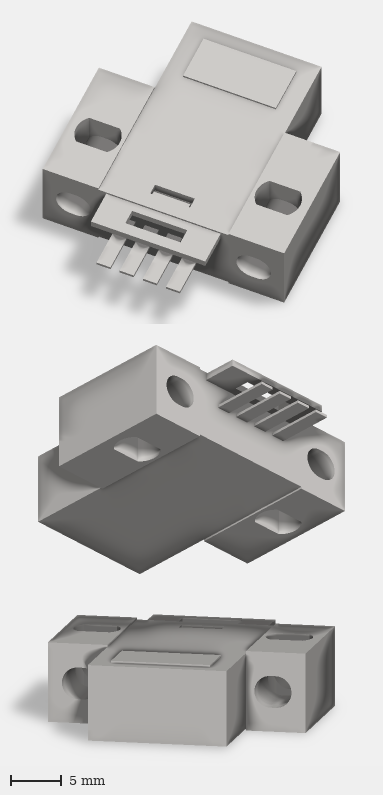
import cadquery as cq
import math


TOTAL_LENGTH = 29.0
PIN_LENGTH = 6.18
BODY_LENGTH = TOTAL_LENGTH - PIN_LENGTH
BODY_WIDTH = 14.0
FLANGE_SPAN = 26.0
FLANGE_LENGTH = 13.75
FLANGE_HEIGHT = 8.0
FLANGE_STEP = 0.2
BODY_HEIGHT = FLANGE_HEIGHT - 2 * FLANGE_STEP
BODY_TOP = BODY_HEIGHT / 2

HOLE_OFFSET_X = 9.72
HOLE_HEIGHT = 3.2
UPRIGHT_HOLE_Y = 6.05
UPRIGHT_HOLE_WIDTH = 4.7
UPRIGHT_HOLE_END_RADIUS = 2.18
LENGTHWISE_HOLE_WIDTH = 3.75

PLATE_WIDTH = 10.0
PLATE_LENGTH = 5.02
PLATE_NOSE_MARGIN = 1.62
PLATE_HEIGHT = FLANGE_STEP

INSERT_TOP = 2.87
INSERT_BOTTOM = -2.7
INSERT_HEIGHT = INSERT_TOP - INSERT_BOTTOM
INSERT_LENGTH = 3.48

TAB_WIDTH = 12.32
TAB_LENGTH = 3.77
TAB_TOP = 3.6
TAB_SLOT_WIDTH = 5.95
TAB_SLOT_START = 0.93
TAB_SLOT_LENGTH = 1.65

WINDOW_WIDTH = 4.3
WINDOW_START = 1.62
WINDOW_LENGTH = 1.2
LATCH_GAP = 0.17
LATCH_WIDTH = WINDOW_WIDTH - 2 * LATCH_GAP
LATCH_LENGTH = WINDOW_LENGTH - LATCH_GAP
LATCH_FLAT = 0.45
LATCH_HEIGHT = 0.78
LATCH_REAR_HEIGHT = 0.12

PIN_COUNT = 4
PIN_PITCH = 2.5
PIN_WIDTH = 1.5
PIN_THICKNESS = 0.3
PIN_Z = 0.55


def block(width, length, height, start_y, bottom_z):
    """Box centred on X = 0 that starts at start_y and stands on bottom_z."""
    box = cq.Workplane("XY").box(width, length, height, centered=(True, False, False))
    return box.translate((0, start_y, bottom_z))


def upright_hole(x):
    """Vertical hole with straight front and back sides and shallow arcs at its two ends."""
    half_width = UPRIGHT_HOLE_WIDTH / 2
    half_height = HOLE_HEIGHT / 2
    arc_depth = UPRIGHT_HOLE_END_RADIUS - math.sqrt(UPRIGHT_HOLE_END_RADIUS**2 - half_height**2)
    half_straight = half_width - arc_depth
    return (
        cq.Workplane("XY")
        .center(x, UPRIGHT_HOLE_Y)
        .moveTo(-half_straight, -half_height)
        .lineTo(half_straight, -half_height)
        .threePointArc((half_width, 0), (half_straight, half_height))
        .lineTo(-half_straight, half_height)
        .threePointArc((-half_width, 0), (-half_straight, -half_height))
        .close()
        .extrude(FLANGE_HEIGHT / 2, both=True)
    )


def lengthwise_hole(x):
    """Slotted hole along the whole flange, from the terminal face to its back."""
    return (
        cq.Workplane("XZ")
        .center(x, 0)
        .slot2D(LENGTHWISE_HOLE_WIDTH, HOLE_HEIGHT)
        .extrude(-FLANGE_LENGTH)
    )


def make_flanges():
    """Left and right flanges, each with its two mounting holes, spaced to fit beside the body."""
    flanges = block(FLANGE_SPAN, FLANGE_LENGTH, FLANGE_HEIGHT, 0, -FLANGE_HEIGHT / 2)
    flanges = flanges.cut(block(BODY_WIDTH, FLANGE_LENGTH, FLANGE_HEIGHT, 0, -FLANGE_HEIGHT / 2))
    for x in (-HOLE_OFFSET_X, HOLE_OFFSET_X):
        flanges = flanges.cut(upright_hole(x)).cut(lengthwise_hole(x))
    return flanges


def make_tab():
    thickness = TAB_TOP - INSERT_TOP
    tab = block(TAB_WIDTH, TAB_LENGTH, thickness, -TAB_LENGTH, INSERT_TOP)
    slot_y = -TAB_SLOT_START - TAB_SLOT_LENGTH
    return tab.cut(block(TAB_SLOT_WIDTH, TAB_SLOT_LENGTH, thickness, slot_y, INSERT_TOP))


def make_insert_block():
    """Plain block of the insert, which is also the shape of its recess."""
    return block(BODY_WIDTH, INSERT_LENGTH, INSERT_HEIGHT, 0, INSERT_BOTTOM)


def make_housing():
    body = block(BODY_WIDTH, BODY_LENGTH, BODY_HEIGHT, 0, -BODY_TOP)
    plate_y = BODY_LENGTH - PLATE_NOSE_MARGIN - PLATE_LENGTH
    plate = block(PLATE_WIDTH, PLATE_LENGTH, PLATE_HEIGHT, plate_y, BODY_TOP)
    window = block(WINDOW_WIDTH, WINDOW_LENGTH, BODY_TOP - INSERT_TOP, WINDOW_START, INSERT_TOP)
    housing = body.union(make_flanges()).union(plate).union(make_tab())
    return housing.cut(make_insert_block()).cut(window)


def make_insert():
    """Insert block with a latch wedge that slopes down toward the nose and ends in a low step."""
    latch = (
        cq.Workplane("YZ")
        .moveTo(WINDOW_START, INSERT_TOP)
        .lineTo(WINDOW_START, INSERT_TOP + LATCH_HEIGHT)
        .lineTo(WINDOW_START + LATCH_FLAT, INSERT_TOP + LATCH_HEIGHT)
        .lineTo(WINDOW_START + LATCH_LENGTH, INSERT_TOP + LATCH_REAR_HEIGHT)
        .lineTo(WINDOW_START + LATCH_LENGTH, INSERT_TOP)
        .close()
        .extrude(LATCH_WIDTH / 2, both=True)
    )
    return make_insert_block().union(latch)


def make_pin(x):
    """Flat terminal pin that stands on the front of the insert."""
    pin = block(PIN_WIDTH, PIN_LENGTH, PIN_THICKNESS, -PIN_LENGTH, PIN_Z - PIN_THICKNESS / 2)
    return pin.translate((x, 0, 0))


housing = make_housing()
insert = make_insert()

pins = []
for index in range(PIN_COUNT):
    pin_x = (index - (PIN_COUNT - 1) / 2) * PIN_PITCH
    pins.append(make_pin(pin_x).val())

result = cq.Compound.makeCompound([housing.val(), insert.val(), *pins])